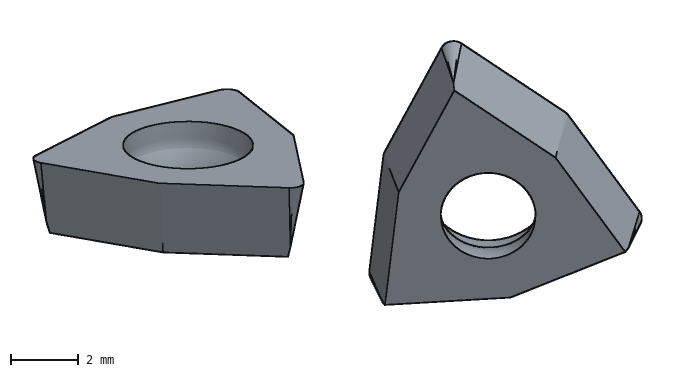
import cadquery as cq
import math

width_x = 8.17
thickness = 2.38
corner_radius = 0.4
relief_angle = 11.0
corner_angle = 80.0
corner_count = 3
first_corner_direction = -20.0

bore_diameter = 2.8
mouth_diameter = 3.85
taper_end_diameter = 3.74
taper_end_depth = 0.55
funnel_diameter = 3.61
funnel_start_depth = 0.8
funnel_end_depth = 2.165

sector = 360.0 / corner_count

left_corner_direction = first_corner_direction + 2 * sector
corner_reach = (width_x - 2 * corner_radius) / (
    math.cos(math.radians(first_corner_direction)) - math.cos(math.radians(left_corner_direction))
)
half_corner = math.radians(corner_angle / 2)
core_inradius = corner_reach * math.sin(half_corner)
blunt_reach = core_inradius / math.sin(half_corner + math.radians(sector / 2))

cone_depth = corner_radius / math.tan(math.radians(relief_angle))
sharp_height = thickness - cone_depth


def polar_point(radius, direction):
    angle = math.radians(direction)
    return (radius * math.cos(angle), radius * math.sin(angle))


def core_outline():
    """Sharp six-sided outline at the level where the corner cones end."""
    points = []
    for index in range(corner_count):
        direction = first_corner_direction + index * sector
        points.append(polar_point(corner_reach, direction))
        points.append(polar_point(blunt_reach, direction + sector / 2))
    return cq.Workplane("XY").workplane(offset=sharp_height).polyline(points).close()


def make_body():
    upper = core_outline().extrude(cone_depth, taper=-relief_angle)
    lower = core_outline().extrude(-sharp_height, taper=relief_angle)
    return upper.union(lower)


def make_hole():
    """Tapered mouth, rounded into a curved funnel that runs tangent into the bore."""
    bore_radius = bore_diameter / 2
    funnel_inset = funnel_diameter / 2 - bore_radius
    funnel_drop = funnel_end_depth - funnel_start_depth
    funnel_arc_radius = (funnel_inset**2 + funnel_drop**2) / (2 * funnel_inset)
    return (
        cq.Workplane("XZ")
        .moveTo(0, thickness)
        .lineTo(mouth_diameter / 2, thickness)
        .lineTo(taper_end_diameter / 2, thickness - taper_end_depth)
        .tangentArcPoint((funnel_diameter / 2, thickness - funnel_start_depth), relative=False)
        .radiusArc((bore_radius, thickness - funnel_end_depth), -funnel_arc_radius)
        .lineTo(bore_radius, 0)
        .lineTo(0, 0)
        .close()
        .revolve(360, (0, 0, 0), (0, 1, 0))
    )


result = make_body().cut(make_hole())